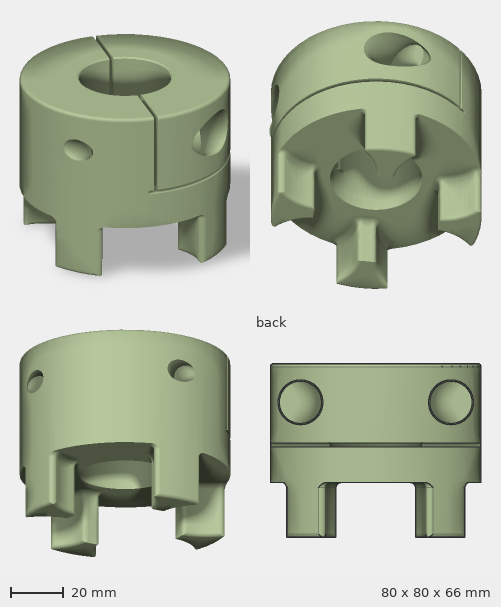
import cadquery as cq
import math

OUTER_RADIUS = 40.0
HEIGHT = 66.0
TOP_ROUNDING = 1.3
BORE_RADIUS = 17.5
BORE_CHAMFER = 0.6

CLAW_COUNT = 4
CLAW_HEIGHT = 20.8
CLAW_INNER_RADIUS = 24.0
POCKET_RADIUS = 19.0
POCKET_DISTANCE = 31.8
CLAW_EDGE_ROUNDING = 1.8
CLAW_ROOT_ROUNDING = 1.9
MOUTH_FLARE = 6.4
CLAW_TIP_ROUNDING = 1.3

SLOT_WIDTH = 1.5
SLOT_MID_HEIGHT = 35.1
SLOT_END_Y = -3.0

SCREW_X = 28.6
SCREW_Z = 51.3
SHANK_DIAMETER = 10.0
HEAD_DIAMETER = 16.0
HEAD_HEIGHT = 10.0
HEAD_TOP_Y = 18.8
SHANK_LENGTH = 30.0
COUNTERBORE_DIAMETER = 17.0
SCREW_EXIT_DIAMETER = 8.6

HEAD_BASE_Y = HEAD_TOP_Y - HEAD_HEIGHT
SHANK_END_Y = HEAD_BASE_Y - SHANK_LENGTH
CAP_BASE_Z = SLOT_MID_HEIGHT + SLOT_WIDTH / 2
CLEAR = 2 * OUTER_RADIUS


def turned_body():
    """Cylinder with rounded rims and a chamfered through bore."""
    body = cq.Workplane("XY").circle(OUTER_RADIUS).extrude(HEIGHT)
    body = body.faces(">Z").edges().fillet(TOP_ROUNDING)
    body = body.faces("<Z").edges().fillet(CLAW_TIP_ROUNDING)
    body = body.cut(cq.Workplane("XY").circle(BORE_RADIUS).extrude(HEIGHT))
    return body.faces(">Z").edges(cq.selectors.RadiusNthSelector(0)).chamfer(BORE_CHAMFER)


def claw_pocket():
    """Pocket on the +X side; its mouth flares round the claw edges to meet the outer cylinder."""
    to_axis = OUTER_RADIUS - CLAW_EDGE_ROUNDING
    to_pocket = POCKET_RADIUS + CLAW_EDGE_ROUNDING
    edge_x = (to_axis**2 - to_pocket**2 + POCKET_DISTANCE**2) / (2 * POCKET_DISTANCE)
    edge_y = math.sqrt(to_axis**2 - edge_x**2)

    pocket_dir = ((POCKET_DISTANCE - edge_x) / to_pocket, -edge_y / to_pocket)
    outer_dir = (edge_x / to_axis, edge_y / to_axis)
    mid_length = math.hypot(pocket_dir[0] + outer_dir[0], pocket_dir[1] + outer_dir[1])
    mid_dir = ((pocket_dir[0] + outer_dir[0]) / mid_length, (pocket_dir[1] + outer_dir[1]) / mid_length)

    def on_edge(direction):
        return (edge_x + CLAW_EDGE_ROUNDING * direction[0], edge_y + CLAW_EDGE_ROUNDING * direction[1])

    def mirrored(point):
        return (point[0], -point[1])

    wall_end = on_edge(pocket_dir)
    edge_mid = on_edge(mid_dir)
    edge_end = on_edge(outer_dir)
    flare_end = (edge_end[0] - MOUTH_FLARE * outer_dir[1], edge_end[1] + MOUTH_FLARE * outer_dir[0])
    far_corner = (CLEAR, flare_end[1])

    outline = (
        cq.Workplane("XY")
        .moveTo(*wall_end)
        .threePointArc((POCKET_DISTANCE - POCKET_RADIUS, 0), mirrored(wall_end))
        .threePointArc(mirrored(edge_mid), mirrored(edge_end))
        .lineTo(*mirrored(flare_end))
        .lineTo(*mirrored(far_corner))
        .lineTo(*far_corner)
        .lineTo(*flare_end)
        .lineTo(*edge_end)
        .threePointArc(edge_mid, wall_end)
        .close()
    )
    return outline.extrude(CLAW_HEIGHT)


def around_axis(shape):
    """One copy of a shape for each pocket, turned about Z."""
    return [shape.rotate((0, 0, 0), (0, 0, 1), index * 360 / CLAW_COUNT) for index in range(CLAW_COUNT)]


def claw_clearance():
    """Space round the claws: the middle and four pockets, with rounded claw edges and roots."""
    space = cq.Workplane("XY").circle(CLAW_INNER_RADIUS).extrude(CLAW_HEIGHT)
    for pocket in around_axis(claw_pocket()):
        space = space.union(pocket)
    reach = CLAW_INNER_RADIUS
    inner_edges = cq.selectors.BoxSelector((-reach, -reach, 0), (reach, reach, CLAW_HEIGHT))
    space = space.edges("|Z").edges(inner_edges).fillet(CLAW_EDGE_ROUNDING)
    return space.faces(">Z").edges().fillet(CLAW_ROOT_ROUNDING)


def pocket_tip_rounding():
    """Ring that rounds the lower edge of one pocket wall at the claw tips."""
    size = CLAW_TIP_ROUNDING
    bend = size * (1 - math.sqrt(0.5))
    return (
        cq.Workplane("XZ")
        .moveTo(0, 0)
        .lineTo(POCKET_RADIUS + size, 0)
        .threePointArc((POCKET_RADIUS + bend, bend), (POCKET_RADIUS, size))
        .lineTo(0, size)
        .close()
        .revolve(360, (0, 0), (0, 1))
        .translate((POCKET_DISTANCE, 0, 0))
    )


def blank():
    """Hub and cap together, before the slots divide them."""
    body = turned_body().cut(claw_clearance())
    for tip_rounding in around_axis(pocket_tip_rounding()):
        body = body.cut(tip_rounding)
    return body


def rod_along_y(x, diameter, start_y, end_y):
    """Cylinder parallel to Y at the height of the screws."""
    plane = cq.Plane(origin=(x, start_y, SCREW_Z), xDir=(1, 0, 0), normal=(0, 1, 0))
    return cq.Workplane(plane).circle(diameter / 2).extrude(end_y - start_y)


def box_between(y_range, z_range):
    """Box as wide as the whole part between two Y and two Z values."""
    return cq.Workplane("XY").box(
        2 * CLEAR, y_range[1] - y_range[0], z_range[1] - z_range[0], centered=(True, False, False)
    ).translate((0, y_range[0], z_range[0]))


def cap_space(gap):
    """Space of the clamp cap, grown by a gap at its lower and split faces."""
    return box_between((SLOT_WIDTH / 2 - gap, CLEAR), (CAP_BASE_Z - gap, CLEAR))


def make_hub():
    """Clawed hub with the round-ended slot under the cap and the tapped screw holes."""
    hub = blank().cut(cap_space(SLOT_WIDTH))
    slot_end_axis = SLOT_END_Y + SLOT_WIDTH / 2
    slot = box_between((slot_end_axis, CLEAR), (CAP_BASE_Z - SLOT_WIDTH, CAP_BASE_Z))
    slot_end = (
        cq.Workplane("YZ")
        .center(slot_end_axis, SLOT_MID_HEIGHT)
        .circle(SLOT_WIDTH / 2)
        .extrude(CLEAR, both=True)
    )
    hub = hub.cut(slot).cut(slot_end)
    for x in (-SCREW_X, SCREW_X):
        hub = hub.cut(rod_along_y(x, SHANK_DIAMETER, SHANK_END_Y, 0))
        hub = hub.cut(rod_along_y(x, SCREW_EXIT_DIAMETER, -CLEAR, SHANK_END_Y))
    return hub


def make_cap():
    """Half-ring clamp cap with a counterbored hole for each screw."""
    cap = blank().intersect(cap_space(0))
    for x in (-SCREW_X, SCREW_X):
        cap = cap.cut(rod_along_y(x, SHANK_DIAMETER, 0, HEAD_BASE_Y))
        cap = cap.cut(rod_along_y(x, COUNTERBORE_DIAMETER, HEAD_BASE_Y, CLEAR))
    return cap


def make_screw(x):
    """Cap screw with a cylindrical head."""
    head = rod_along_y(x, HEAD_DIAMETER, HEAD_BASE_Y, HEAD_TOP_Y)
    return head.union(rod_along_y(x, SHANK_DIAMETER, SHANK_END_Y, HEAD_BASE_Y))


hub = make_hub()
cap = make_cap()
screws = [make_screw(x) for x in (-SCREW_X, SCREW_X)]

result = cq.Compound.makeCompound([hub.val(), cap.val(), *[screw.val() for screw in screws]])